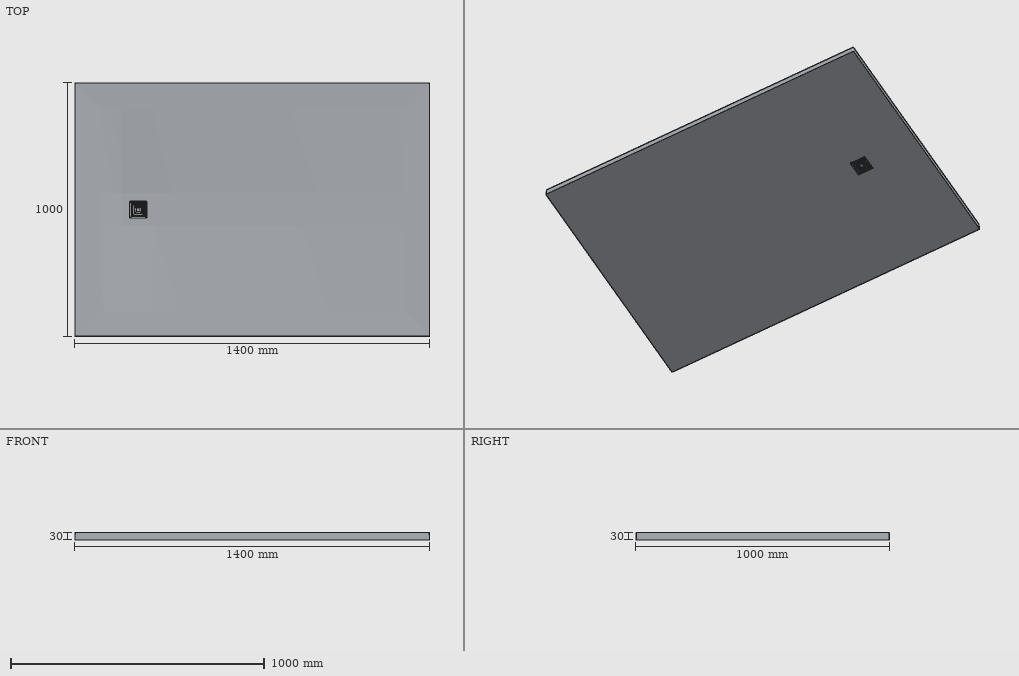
import cadquery as cq

length = 1400.0
width = 1000.0
height = 30.01
side_lean = 1.0
corner_radius = 3.0

rim_width = 100.0
rim_drop = 2.4
floor_drop = 12.8
facet_on_long_rim = 26.0
facet_on_short_rim = 39.0

plate_size = 130.0
plate_center_x = -449.6
slot_rings = 3
slot_reach = 32.7
slot_width = 5.0
slot_pitch = 10.0
miter_gap = 0.5

rim_level = height - rim_drop
plate_level = rim_level - floor_drop
top_x = length / 2 - side_lean
top_y = width / 2 - side_lean
inner_x = length / 2 - rim_width
inner_y = width / 2 - rim_width
plate_left = plate_center_x - plate_size / 2
plate_right = plate_center_x + plate_size / 2
plate_y = plate_size / 2
clearance = 5.0
clearance_level = height + clearance


def tray_block():
    """Full block whose four sides lean slightly inward, with rounded corners."""
    return (
        cq.Workplane("XY")
        .rect(length, width)
        .workplane(offset=height)
        .rect(2 * top_x, 2 * top_y)
        .loft(combine=True)
        .edges("not(#Z)")
        .fillet(corner_radius)
    )


def void_above(corners):
    """Solid standing on the ruled patch through four corners, reaching above the tray."""
    low = [cq.Vector(*corner) for corner in corners]
    high = [cq.Vector(x, y, clearance_level) for x, y, _ in corners]

    def ruled(a, b, c, d):
        return cq.Face.makeRuledSurface(cq.Edge.makeLine(a, b), cq.Edge.makeLine(d, c))

    faces = [ruled(*low), ruled(*high)]
    for i in range(4):
        j = (i + 1) % 4
        faces.append(ruled(low[i], low[j], high[j], high[i]))
    return cq.Solid.makeSolid(cq.Shell.makeShell(faces)).fix()


def rim_patches():
    """Rim slopes and corner facets of one half; the other half is its half-turn copy."""
    facet_x = inner_x - facet_on_long_rim
    facet_y = width / 2 - facet_on_short_rim
    outer_corner = (top_x, top_y, height)
    inner_corner = (inner_x, inner_y, rim_level)
    facet_inner = (facet_x, inner_y, rim_level)
    facet_outer = (top_x, facet_y, height)
    long_rim = [
        (-top_x, top_y, height),
        (-inner_x, inner_y, rim_level),
        facet_inner,
        outer_corner,
    ]
    facet = [outer_corner, facet_inner, inner_corner, facet_outer]
    short_rim = [
        facet_outer,
        inner_corner,
        (inner_x, -inner_y, rim_level),
        (top_x, -top_y, height),
    ]
    half = [long_rim, facet, short_rim]
    turned = [[(-x, -y, z) for x, y, z in patch] for patch in half]
    return half + turned


def floor_patches():
    """Three by three floor panels falling from the rim to the flat drain plate."""
    panels_per_side = 3
    x_lines = [-inner_x, plate_left, plate_right, inner_x]
    y_lines = [-inner_y, -plate_y, plate_y, inner_y]

    def point(i, j):
        on_plate = i in (1, 2) and j in (1, 2)
        return (x_lines[i], y_lines[j], plate_level if on_plate else rim_level)

    return [
        [point(i, j), point(i + 1, j), point(i + 1, j + 1), point(i, j + 1)]
        for i in range(panels_per_side)
        for j in range(panels_per_side)
    ]


def grate_slots():
    """Through slots in nested square rings, with mitered ends that leave diagonal webs."""
    slots = cq.Workplane("XY")
    for ring in range(slot_rings):
        outer = slot_reach - ring * slot_pitch
        inner = outer - slot_width
        outline = [
            (inner, inner - miter_gap),
            (outer, outer - miter_gap),
            (outer, miter_gap - outer),
            (inner, miter_gap - inner),
        ]
        slot = cq.Workplane("XY").polyline(outline).close().extrude(height)
        for side in range(4):
            slots = slots.add(slot.rotate((0, 0, 0), (0, 0, 1), 90 * side))
    return slots.combine().translate((plate_center_x, 0, 0))


result = tray_block()
for patch in rim_patches() + floor_patches():
    result = result.cut(cq.Workplane(obj=void_above(patch)))
result = result.cut(grate_slots()).solids()